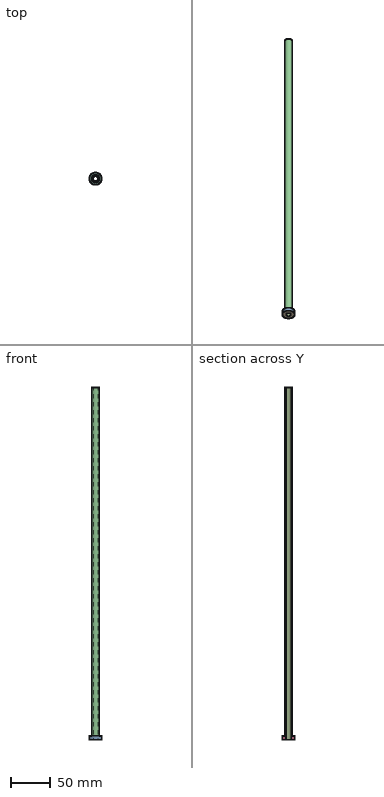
import cadquery as cq

total_length = 450.0
head_diameter = 16.0
head_height = 5.0
shaft_diameter = 10.0
bore_diameter = 6.2
root_fillet_radius = 0.5


def make_cylinder(diameter, height):
    """Upright cylinder on the Z axis, rising from Z = 0."""
    return cq.Workplane("XY").circle(diameter / 2).extrude(height)


def fillet_shaft_root(body):
    """Blend the shaft into the top face of the head."""
    head_top_face = body.faces("|Z").faces(">Z[-2]")
    root_edge = head_top_face.edges(cq.selectors.RadiusNthSelector(0))
    return root_edge.fillet(root_fillet_radius)


head = make_cylinder(head_diameter, head_height)
shaft = make_cylinder(shaft_diameter, total_length)
through_bore = make_cylinder(bore_diameter, total_length)

result = fillet_shaft_root(head.union(shaft)).cut(through_bore)